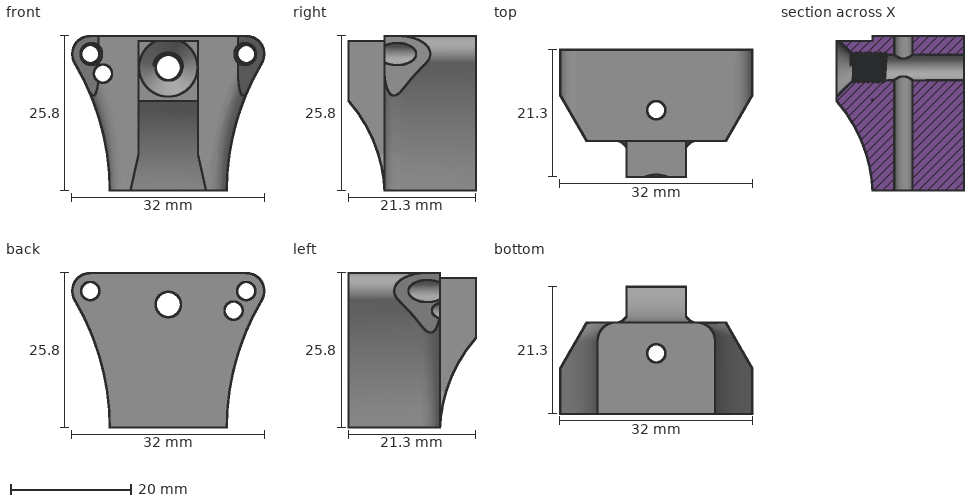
import cadquery as cq
import math


width = 32.0
height = 25.75
body_depth = 15.25
bottom_half_width = 9.75
ear_radius = 3.0
front_edge_radius = 3.0
corner_cut_half_width = 11.6
corner_cut_angle = 30.0

boss_depth = 6.0
boss_width = 9.92
boss_top_gap = 0.8
boss_face_bottom = 14.95
boss_curve_mid = (2.1, 8.93)
flare_height = 6.0
flare_bottom_width = 12.6

pin_diameter = 3.0
ear_hole_front_diameter = 3.97
ear_taper_depth = body_depth / 2
side_hole_x = -10.88
side_hole_drop = 6.27
top_hole_y = 5.15
screw_drop = 5.25
screw_core_diameter = 4.2
screw_major_diameter = 5.0
countersink_diameter = 9.73
countersink_depth = (countersink_diameter - screw_core_diameter) / 2

thread_pitch = 0.8
thread_length = 6.4
thread_mouth_width = 0.75
thread_root_width = 0.1
thread_overlap = 0.05
thread_lead_in = 0.85
thread_start_y = countersink_depth - boss_depth - thread_lead_in

ear_x = width / 2 - ear_radius
ear_z = height - ear_radius
screw_z = height - screw_drop
boss_top = height - boss_top_gap

ear_offset = ear_x - bottom_half_width
side_radius = (ear_offset**2 + ear_z**2 - ear_radius**2) / (2 * (ear_radius + ear_offset))
side_centre_x = bottom_half_width + side_radius
side_end_angle = math.atan2(ear_z, side_centre_x - ear_x)


def side_point(angle):
    """Point on the right side arc, by the angle climbed from the bottom."""
    return (side_centre_x - side_radius * math.cos(angle), side_radius * math.sin(angle))


def ear_point(angle):
    """Point on the right ear, by the angle from +X."""
    return (ear_x + ear_radius * math.cos(angle), ear_z + ear_radius * math.sin(angle))


def mirrored(point):
    """Matching point on the left side."""
    return (-point[0], point[1])


def extrude_back(outline):
    """Extrude a front outline from the front face to the back of the body."""
    return outline.close().extrude(-body_depth)


def eared_block():
    """Body with two round ears at the top and hollow-curved sides."""
    mid = side_point(side_end_angle / 2)
    end = side_point(side_end_angle)
    ear_mid = ear_point((math.pi / 2 - side_end_angle) / 2)
    ear_top = (ear_x, height)
    outline = (
        cq.Workplane("XZ")
        .moveTo(bottom_half_width, 0)
        .threePointArc(mid, end)
        .threePointArc(ear_mid, ear_top)
        .lineTo(*mirrored(ear_top))
        .threePointArc(mirrored(ear_mid), mirrored(end))
        .threePointArc(mirrored(mid), (-bottom_half_width, 0))
    )
    return extrude_back(outline)


def rounded_sides():
    """Block with the side arcs carried on to the top and their front edges rounded."""
    top_angle = math.asin(height / side_radius)
    mid = side_point(top_angle / 2)
    end = side_point(top_angle)
    outline = (
        cq.Workplane("XZ")
        .moveTo(bottom_half_width, 0)
        .threePointArc(mid, end)
        .lineTo(*mirrored(end))
        .threePointArc(mirrored(mid), (-bottom_half_width, 0))
    )
    return extrude_back(outline).faces("<Y").edges("%CIRCLE").fillet(front_edge_radius)


def corner_cut_prism():
    """Plan shape that bevels the two front corners, over the full height."""
    reach = width / 2
    cut_depth = (reach - corner_cut_half_width) / math.tan(math.radians(corner_cut_angle))
    return (
        cq.Workplane("XY")
        .polyline([
            (-corner_cut_half_width, 0),
            (corner_cut_half_width, 0),
            (reach, cut_depth),
            (reach, body_depth),
            (-reach, body_depth),
            (-reach, cut_depth),
        ])
        .close()
        .extrude(height)
    )


def boss():
    """Boss with a hollow-curved underside and a foot that widens to the bottom."""
    side_profile = (
        cq.Workplane("YZ")
        .moveTo(0, 0)
        .threePointArc((-boss_curve_mid[0], boss_curve_mid[1]), (-boss_depth, boss_face_bottom))
        .lineTo(-boss_depth, boss_top)
        .lineTo(0, boss_top)
        .close()
        .extrude(flare_bottom_width / 2, both=True)
    )
    front_outline = (
        cq.Workplane("XZ")
        .polyline([
            (flare_bottom_width / 2, 0),
            (boss_width / 2, flare_height),
            (boss_width / 2, boss_top),
            (-boss_width / 2, boss_top),
            (-boss_width / 2, flare_height),
            (-flare_bottom_width / 2, 0),
        ])
        .close()
        .extrude(boss_depth)
    )
    return side_profile.intersect(front_outline)


def bore(x, z, diameter, start_y=0.0):
    """Round hole along Y from start_y out through the back."""
    return (
        cq.Workplane("XZ", origin=(x, start_y, z))
        .circle(diameter / 2)
        .extrude(start_y - body_depth)
    )


def tapered_hole(x, z, start_y, depth, front_diameter, back_diameter):
    """Cone along Y that narrows from front to back."""
    cone = cq.Solid.makeCone(
        front_diameter / 2, back_diameter / 2, depth, cq.Vector(x, start_y, z), cq.Vector(0, 1, 0)
    )
    return cq.Workplane(obj=cone)


def ear_hole(x):
    """Through hole that is wider at the front and tapers to its size halfway back."""
    taper = tapered_hole(x, ear_z, 0, ear_taper_depth, ear_hole_front_diameter, pin_diameter)
    return bore(x, ear_z, pin_diameter).union(taper)


def screw_thread():
    """Helical V groove from the countersink's floor into the body."""
    core_radius = screw_core_diameter / 2
    major_radius = screw_major_diameter / 2
    inner_radius = core_radius - thread_overlap
    half_root = thread_root_width / 2
    half_mouth = thread_mouth_width / 2
    helix = cq.Wire.makeHelix(thread_pitch, thread_length, core_radius)
    groove = (
        cq.Workplane("XZ")
        .polyline([
            (inner_radius, -half_mouth),
            (major_radius, -half_root),
            (major_radius, half_root),
            (inner_radius, half_mouth),
        ])
        .close()
        .sweep(cq.Workplane(obj=helix), isFrenet=True)
    )
    return groove.rotate((0, 0, 0), (1, 0, 0), -90).translate((0, thread_start_y, screw_z))


def screw_hole():
    """Core of the threaded hole with a countersink on the boss face."""
    sink = tapered_hole(
        0, screw_z, -boss_depth, countersink_depth, countersink_diameter, screw_core_diameter
    )
    return bore(0, screw_z, screw_core_diameter, -boss_depth).union(sink)


def top_hole():
    """Round hole straight down through the body, across the screw hole."""
    return cq.Workplane("XY").center(0, top_hole_y).circle(pin_diameter / 2).extrude(height)


body = eared_block().intersect(rounded_sides()).intersect(corner_cut_prism())
result = body.union(boss())
result = result.cut(screw_hole()).cut(top_hole())
result = result.cut(bore(side_hole_x, height - side_hole_drop, pin_diameter))
for side in (-1, 1):
    result = result.cut(ear_hole(side * ear_x))

result = result.cut(screw_thread(), clean=False)